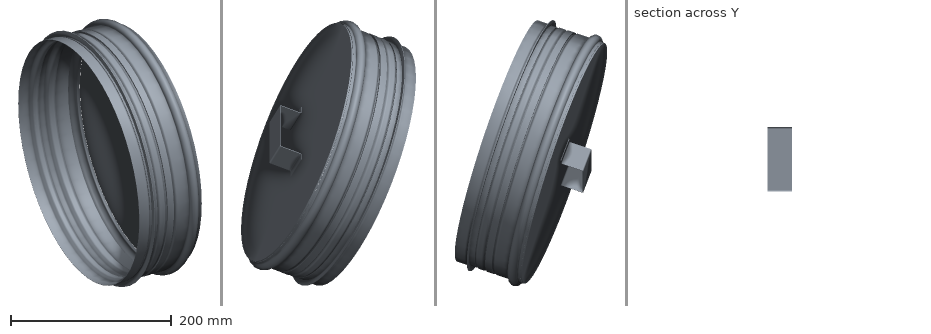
import cadquery as cq
import math


sheet = 0.5
shell_radius = 158.37
shell_length = 86.7
overall_radius = 164.8

bead_y = 76.63
crown_radius = 6.3
foot_radius = 0.5

groove_angle = math.radians(45)
bend_radius = 2.8
groove_bottom_radius = 153.5
seal_groove = (13.0, 30.0)
band_groove = (35.0, 53.7)

fill_radius = 156.05
seal_radius = 157.5
seal_start = 15.8
seal_width = 10.2
lip_start = 18.0
lip_thickness = 0.5
band_radius = 158.5
band_start = 40.2
band_width = 8.5

plate_radius = 157.5
plate_thickness = 2.0
plate_back = shell_length + plate_thickness

overall_length = 118.5
strap = 1.0
handle_width = 30.3
handle_span = 80.5
foot_span = 102.5
bend_inner_radius = 1.0
bend_outer_radius = bend_inner_radius + strap


def revolve_about_y(profile):
    """Turn a closed (-radius, y) profile once round the Y axis."""
    return profile.close().revolve(360, (0, 0, 0), (0, 1, 0))


def make_ring(inner_radius, outer_radius, start, width):
    profile = cq.Workplane("XY").moveTo(-inner_radius, start).lineTo(-outer_radius, start)
    profile = profile.lineTo(-outer_radius, start + width).lineTo(-inner_radius, start + width)
    return revolve_about_y(profile)


def add_groove(profile, groove, inset):
    """Continue the wall profile through one groove, from the open end towards the closed end."""
    start, end = groove
    mouth_centre_radius = shell_radius - bend_radius
    bottom_centre_radius = groove_bottom_radius + bend_radius
    mouth_bend = bend_radius - inset
    bottom_bend = bend_radius + inset
    bends_depth = 2 * bend_radius * (1 - math.cos(groove_angle))
    flat_depth = shell_radius - groove_bottom_radius - bends_depth
    side_run = 2 * bend_radius * math.sin(groove_angle) + flat_depth / math.tan(groove_angle)

    def mouth_point(centre_y, angle):
        return (
            -mouth_centre_radius - mouth_bend * math.cos(angle),
            centre_y + mouth_bend * math.sin(angle),
        )

    def bottom_point(centre_y, angle):
        return (
            -bottom_centre_radius + bottom_bend * math.cos(angle),
            centre_y + bottom_bend * math.sin(angle),
        )

    half_angle = groove_angle / 2
    near_bottom = start + side_run
    far_bottom = end - side_run
    profile = profile.lineTo(*mouth_point(start, 0))
    profile = profile.threePointArc(mouth_point(start, half_angle), mouth_point(start, groove_angle))
    profile = profile.lineTo(*bottom_point(near_bottom, -groove_angle))
    profile = profile.threePointArc(
        bottom_point(near_bottom, -half_angle), bottom_point(near_bottom, 0)
    )
    profile = profile.lineTo(*bottom_point(far_bottom, 0))
    profile = profile.threePointArc(
        bottom_point(far_bottom, half_angle), bottom_point(far_bottom, groove_angle)
    )
    profile = profile.lineTo(*mouth_point(end, -groove_angle))
    return profile.threePointArc(mouth_point(end, -half_angle), mouth_point(end, 0))


def add_bead(profile, inset):
    """Continue the wall profile over the bead: foot arc, crown arc, foot arc."""
    crown_centre_radius = overall_radius - crown_radius
    foot_centre_radius = shell_radius + foot_radius
    foot_rise = foot_centre_radius - crown_centre_radius
    foot_angle = math.asin(foot_rise / (crown_radius + foot_radius))
    foot_offset = (crown_radius + foot_radius) * math.cos(foot_angle)
    crown = crown_radius - inset
    foot = foot_radius + inset

    def crown_end(side):
        return (
            -crown_centre_radius - crown * math.sin(foot_angle),
            bead_y + side * crown * math.cos(foot_angle),
        )

    def foot_middle(side):
        middle_angle = (math.pi / 2 + foot_angle) / 2
        return (
            -foot_centre_radius + foot * math.sin(middle_angle),
            bead_y + side * (foot_offset - foot * math.cos(middle_angle)),
        )

    wall_radius = shell_radius - inset
    profile = profile.lineTo(-wall_radius, bead_y - foot_offset)
    profile = profile.threePointArc(foot_middle(-1), crown_end(-1))
    profile = profile.threePointArc((-crown_centre_radius - crown, bead_y), crown_end(1))
    return profile.threePointArc(foot_middle(1), (-wall_radius, bead_y + foot_offset))


def wall_solid(inset):
    """Solid bounded by the shell's outside surface moved inwards by the inset."""
    profile = cq.Workplane("XY").lineTo(-shell_radius + inset, 0)
    profile = add_groove(profile, seal_groove, inset)
    profile = add_groove(profile, band_groove, inset)
    profile = add_bead(profile, inset)
    profile = profile.lineTo(-shell_radius + inset, shell_length).lineTo(0, shell_length)
    return revolve_about_y(profile)


def make_shell():
    """Open tube of even sheet thickness with two grooves and a hollow outward bead."""
    return wall_solid(0).cut(wall_solid(sheet))


def make_groove_fill(groove):
    """Ring that fills the lower part of a groove and follows its sides and rounded corners."""
    start, end = groove
    blank = make_ring(groove_bottom_radius, fill_radius, start, end - start)
    return blank.cut(wall_solid(0))


def make_lip_seal():
    """Seal ring with a raised flat and a thin lip standing out of it."""
    flat = make_ring(groove_bottom_radius, seal_radius, seal_start, seal_width)
    lip = make_ring(groove_bottom_radius, overall_radius, lip_start, lip_thickness)
    return make_groove_fill(seal_groove).union(flat.union(lip).cut(wall_solid(0)))


def make_band():
    """Ring with a raised flat that stands level with the wall."""
    flat = make_ring(groove_bottom_radius, band_radius, band_start, band_width)
    return make_groove_fill(band_groove).union(flat.cut(wall_solid(0)))


def make_end_plate():
    return cq.Workplane("XZ", origin=(0, plate_back, 0)).circle(plate_radius).extrude(plate_thickness)


def hat_block(half_span, back, foot_y, back_radius, foot_radius):
    """Solid hat: a bar across the feet and a block rising from it, with the four bends rounded."""
    half_foot = foot_span / 2
    foot_front = foot_y - strap
    hat = (
        cq.Workplane("YZ")
        .moveTo(foot_front, -half_foot)
        .lineTo(foot_y, -half_foot)
        .lineTo(foot_y, -half_span)
        .lineTo(back, -half_span)
        .lineTo(back, half_span)
        .lineTo(foot_y, half_span)
        .lineTo(foot_y, half_foot)
        .lineTo(foot_front, half_foot)
        .close()
        .extrude(handle_width / 2, both=True)
    )
    hat = hat.edges("|X and >Y").fillet(back_radius)
    inner_corners = cq.selectors.BoxSelector(
        (-handle_width, foot_y - strap / 2, -half_span - strap),
        (handle_width, foot_y + strap / 2, half_span + strap),
    )
    return hat.edges("|X").edges(inner_corners).fillet(foot_radius)


def make_handle():
    """Strap of even thickness: the outer hat less the same hat one thickness further in."""
    half_span = handle_span / 2
    outer = hat_block(
        half_span, overall_length, plate_back + strap, bend_outer_radius, bend_inner_radius
    )
    inner = hat_block(
        half_span - strap, overall_length - strap, plate_back, bend_inner_radius, bend_outer_radius
    )
    return outer.cut(inner)


shell = make_shell()
lip_seal = make_lip_seal()
band = make_band()
end_plate = make_end_plate()
handle = make_handle()

result = cq.Compound.makeCompound(
    [shell.val(), lip_seal.val(), band.val(), end_plate.val(), handle.val()]
)